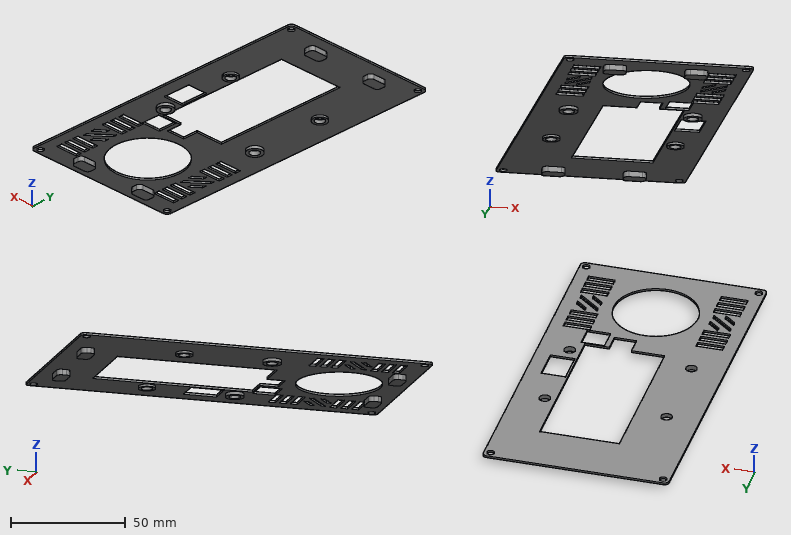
import cadquery as cq
import math

plate_width = 84.0
plate_length = 160.0
plate_thickness = 1.0
corner_radius = 2.0

screw_hole_diameter = 3.3
screw_hole_x = 39.0
screw_hole_y = 77.0

window_left, window_right = -13.0, 23.0
window_bottom, window_top = -17.8, 55.0
notch_left, notch_right = 2.0, 12.0
notch_bottom = -26.0

switch_left, switch_right = 24.0, 35.0
switch_bottom, switch_top = -5.0, 10.0
socket_left, socket_right = 14.4, 24.9
socket_bottom, socket_top = -28.5, -18.5

speaker_diameter = 38.0
speaker_y = -50.0

vent_x = 30.0
vent_y = -49.5
vent_slot_width = 12.0
vent_slot_height = 3.0
vent_first_offset = 9.0
vent_pitch = 5.0
vent_slots_per_side = 3
slant_angle = -40.0
slant_slot_width = 1.5
slant_slope = math.tan(math.radians(slant_angle))
slant_slot_height = slant_slot_width / math.cos(math.radians(slant_angle))
long_slant_half_width = 5.0
short_slant_inner_x = 0.25
short_slant_outer_x = 5.25
slant_pitch = 5.3

mount_hole_diameter = 5.0
mount_left_x, mount_right_x = -27.0, 28.0
upper_mount_y = 28.8
mount_pitch_y = 40.0
lower_mount_y = upper_mount_y - mount_pitch_y
upper_ring_diameter = 7.6
upper_ring_height = 1.0
lower_ring_diameter = 8.2
lower_ring_height = 1.4

pad_width = 10.0
pad_length = 6.0
pad_height = 2.5
pad_corner_radius = 2.0
pad_x = 18.0
pad_y = 71.0


def make_plate():
    """Flat plate with rounded corners."""
    plate = cq.Workplane("XY").rect(plate_width, plate_length).extrude(plate_thickness)
    return plate.edges("|Z").fillet(corner_radius)


def make_pads():
    """Four rounded pads hanging below the plate."""
    pads = (
        cq.Workplane("XY")
        .rect(2 * pad_x, 2 * pad_y, forConstruction=True)
        .vertices()
        .rect(pad_width, pad_length)
        .extrude(-pad_height)
    )
    return pads.edges("|Z").fillet(pad_corner_radius)


def make_rings(y, diameter, height):
    """Left and right spacer discs at one Y position, below the plate."""
    centers = [(mount_left_x, y), (mount_right_x, y)]
    return cq.Workplane("XY").pushPoints(centers).circle(diameter / 2).extrude(-height)


def box_cutter(left, right, bottom, top):
    """Rectangular cutter through the plate."""
    center = ((left + right) / 2, (bottom + top) / 2)
    outline = cq.Workplane("XY").center(*center).rect(right - left, top - bottom)
    return outline.extrude(plate_thickness)


def slant_cutter(left, right, middle_y):
    """Sloping slot with upright ends; middle_y is its centre line's Y at X = 0."""
    half_height = slant_slot_height / 2
    left_y = middle_y + slant_slope * left
    right_y = middle_y + slant_slope * right
    corners = [
        (left, left_y - half_height),
        (right, right_y - half_height),
        (right, right_y + half_height),
        (left, left_y + half_height),
    ]
    return cq.Workplane("XY").polyline(corners).close().extrude(plate_thickness)


def vent_cutters():
    """Cutters of one vent group, centred on the origin."""
    half_width = vent_slot_width / 2
    half_height = vent_slot_height / 2
    cutters = []
    for side in (-1, 1):
        for index in range(vent_slots_per_side):
            y = side * (vent_first_offset + index * vent_pitch)
            cutters.append(box_cutter(-half_width, half_width, y - half_height, y + half_height))
    cutters.append(slant_cutter(-long_slant_half_width, long_slant_half_width, 0))
    cutters.append(slant_cutter(short_slant_inner_x, short_slant_outer_x, slant_pitch))
    cutters.append(slant_cutter(-short_slant_outer_x, -short_slant_inner_x, -slant_pitch))
    return cutters


def cut_openings(body):
    """Cut the window, its notch, the small openings and the speaker hole."""
    body = body.cut(box_cutter(window_left, window_right, window_bottom, window_top))
    body = body.cut(box_cutter(notch_left, notch_right, notch_bottom, window_bottom))
    body = body.cut(box_cutter(switch_left, switch_right, switch_bottom, switch_top))
    body = body.cut(box_cutter(socket_left, socket_right, socket_bottom, socket_top))
    speaker = cq.Workplane("XY").center(0, speaker_y).circle(speaker_diameter / 2)
    return body.cut(speaker.extrude(plate_thickness))


def cut_vents(body):
    """Cut the same vent group on the left and on the right."""
    for x in (-vent_x, vent_x):
        for cutter in vent_cutters():
            body = body.cut(cutter.translate((x, vent_y, 0)))
    return body


def drill_holes(body):
    """Drill the corner screw holes and the mounting holes."""
    top_face = cq.Workplane("XY").workplane(offset=plate_thickness)
    depth = plate_thickness + pad_height
    screw_holes = (
        top_face.rect(2 * screw_hole_x, 2 * screw_hole_y, forConstruction=True)
        .vertices()
        .circle(screw_hole_diameter / 2)
        .extrude(-depth)
    )
    centers = [(x, y) for x in (mount_left_x, mount_right_x) for y in (upper_mount_y, lower_mount_y)]
    mount_holes = top_face.pushPoints(centers).circle(mount_hole_diameter / 2).extrude(-depth)
    return body.cut(screw_holes).cut(mount_holes)


body = make_plate().union(make_pads())
body = body.union(make_rings(upper_mount_y, upper_ring_diameter, upper_ring_height))
body = body.union(make_rings(lower_mount_y, lower_ring_diameter, lower_ring_height))
body = cut_openings(body)
body = cut_vents(body)
result = drill_holes(body)